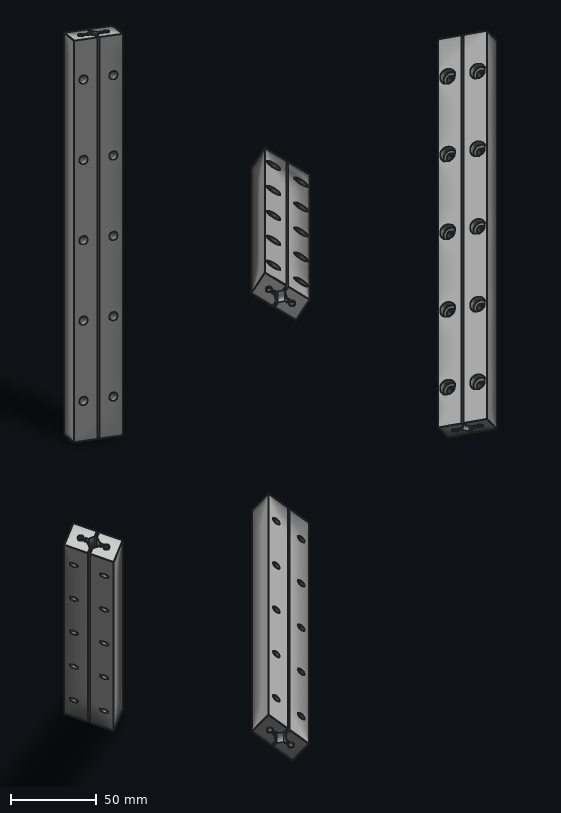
import cadquery as cq
import math

LENGTH = 250.0
THICKNESS = 15.0
PAIR_WIDTH = 31.0
RAIL_GAP = 1.2
EDGE_CHAMFER = 0.15

V_HALF_WIDTH = 4.0
RELIEF_WIDTH = 2.2
RELIEF_ROOT = 5.2

HOLE_COUNT = 5
HOLE_PITCH = 50.0
HOLE_OFFSET = 9.5
HOLE_DIAMETER = 5.2
BORE_DIAMETER = 9.5
BORE_DEPTH = 5.2

END_HOLE_DIAMETER = 3.0
END_HOLE_OFFSET = 8.0
END_HOLE_DEPTH = 7.5
END_SINK_DIAMETER = 3.8
DRILL_TIP_ANGLE = 118.0


def make_bar(side):
    """Plain rail on one side of the mid plane, with all its edges chamfered."""
    width = (PAIR_WIDTH - RAIL_GAP) / 2
    center = side * (PAIR_WIDTH + RAIL_GAP) / 4
    bar = cq.Workplane("XY").box(THICKNESS, width, LENGTH)
    return bar.edges().chamfer(EDGE_CHAMFER).translate((0, center, 0))


def make_raceway(side):
    """Cutter for the V raceway and its relief slot."""
    mouth = RAIL_GAP / 2
    half_relief = RELIEF_WIDTH / 2
    v_root = mouth + V_HALF_WIDTH - half_relief
    outline = [
        (-V_HALF_WIDTH, mouth),
        (-half_relief, v_root),
        (-half_relief, RELIEF_ROOT),
        (half_relief, RELIEF_ROOT),
        (half_relief, v_root),
        (V_HALF_WIDTH, mouth),
    ]
    points = [(x, side * y) for x, y in outline]
    return cq.Workplane("XY").polyline(points).close().extrude(LENGTH / 2, both=True)


def make_mounting_hole(side, z):
    """Cutter for one counterbored hole, entered from the -X face."""
    start = cq.Workplane("YZ", origin=(-THICKNESS / 2, side * HOLE_OFFSET, z))
    hole = start.circle(HOLE_DIAMETER / 2).extrude(THICKNESS)
    bore = start.circle(BORE_DIAMETER / 2).extrude(BORE_DEPTH)
    return hole.union(bore)


def make_end_hole(side, end):
    """Cutter for one end hole: countersink, straight bore and drill tip."""
    hole_radius = END_HOLE_DIAMETER / 2
    sink_radius = END_SINK_DIAMETER / 2
    sink_depth = sink_radius - hole_radius
    tip_length = hole_radius / math.tan(math.radians(DRILL_TIP_ANGLE / 2))
    profile = [
        (0, 0),
        (sink_radius, 0),
        (hole_radius, sink_depth),
        (hole_radius, END_HOLE_DEPTH),
        (0, END_HOLE_DEPTH + tip_length),
    ]
    points = [(r, end * (LENGTH / 2 - depth)) for r, depth in profile]
    drill = cq.Workplane("XZ").polyline(points).close().revolve(360, (0, 0), (0, 1))
    return drill.translate((0, side * END_HOLE_OFFSET, 0))


def make_rail(side):
    """One complete rail; side is +1 for the +Y rail and -1 for the -Y rail."""
    rail = make_bar(side).cut(make_raceway(side))
    for i in range(HOLE_COUNT):
        z = (i - (HOLE_COUNT - 1) / 2) * HOLE_PITCH
        rail = rail.cut(make_mounting_hole(side, z))
    for end in (-1, 1):
        rail = rail.cut(make_end_hole(side, end))
    return rail


rails = [make_rail(side) for side in (-1, 1)]

result = cq.Compound.makeCompound([rail.val() for rail in rails])